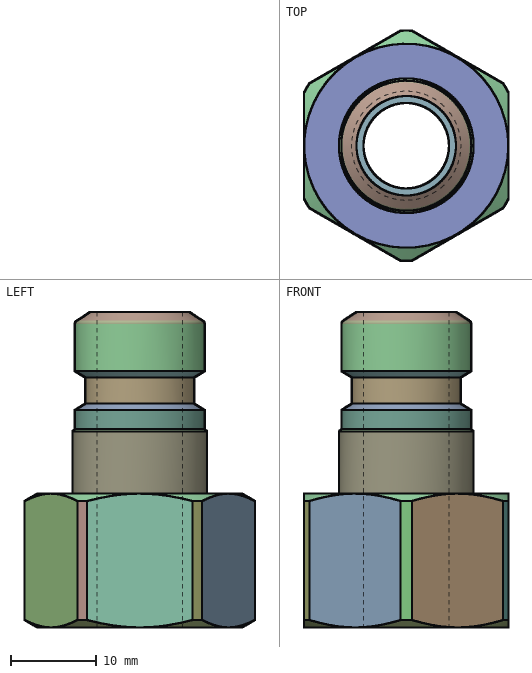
import cadquery as cq
import math

total_height = 37.0
across_flats = 24.0
corner_diameter = 27.0
bore_diameter = 10.0

hex_height = 15.72
hex_face_diameter = 23.9
hex_chamfer_angle = 30.0

shank_diameter = 15.8
shank_top = 22.98
head_diameter = 15.25
neck_diameter = 12.8
collar_height = 2.5
groove_width = 4.55
groove_chamfer_height = 0.75
head_straight_top = 35.55
tip_diameter = 11.65
tip_angle = 54.5
tip_round_radius = 0.48

shank_radius = shank_diameter / 2
head_radius = head_diameter / 2
neck_radius = neck_diameter / 2
shank_step = shank_radius - head_radius
collar_bottom = shank_top + shank_step
collar_top = shank_top + collar_height
groove_top = collar_top + groove_width


def make_hexagon():
    """Hexagon with flats facing +X and -X, and turned-down corners."""
    circumscribed_diameter = across_flats / math.cos(math.radians(30))
    prism = (
        cq.Workplane("XY")
        .polygon(6, circumscribed_diameter)
        .extrude(hex_height)
        .rotate((0, 0, 0), (0, 0, 1), 30)
    )
    face_radius = hex_face_diameter / 2
    corner_radius = corner_diameter / 2
    chamfer_height = (corner_radius - face_radius) * math.tan(math.radians(hex_chamfer_angle))
    envelope = (
        cq.Workplane("XZ")
        .polyline([
            (0, 0),
            (face_radius, 0),
            (corner_radius, chamfer_height),
            (corner_radius, hex_height - chamfer_height),
            (face_radius, hex_height),
            (0, hex_height),
        ])
        .close()
        .revolve(360, (0, 0, 0), (0, 1, 0))
    )
    return prism.intersect(envelope)


def make_spigot():
    """Shank, collar, groove and head with a rounded edge below the tip cone."""
    slope = math.radians(tip_angle)
    round_center_radius = head_radius - tip_round_radius

    def round_point(angle):
        return (
            round_center_radius + tip_round_radius * math.cos(angle),
            head_straight_top + tip_round_radius * math.sin(angle),
        )

    profile = (
        cq.Workplane("XZ")
        .moveTo(0, 0)
        .lineTo(shank_radius, 0)
        .lineTo(shank_radius, shank_top)
        .lineTo(head_radius, collar_bottom)
        .lineTo(head_radius, collar_top)
        .lineTo(neck_radius, collar_top + groove_chamfer_height)
        .lineTo(neck_radius, groove_top - groove_chamfer_height)
        .lineTo(head_radius, groove_top)
        .lineTo(head_radius, head_straight_top)
        .threePointArc(round_point(slope / 2), round_point(slope))
        .lineTo(tip_diameter / 2, total_height)
        .lineTo(0, total_height)
        .close()
    )
    return profile.revolve(360, (0, 0, 0), (0, 1, 0))


bore = cq.Workplane("XY").circle(bore_diameter / 2).extrude(total_height)

result = make_hexagon().union(make_spigot()).cut(bore)